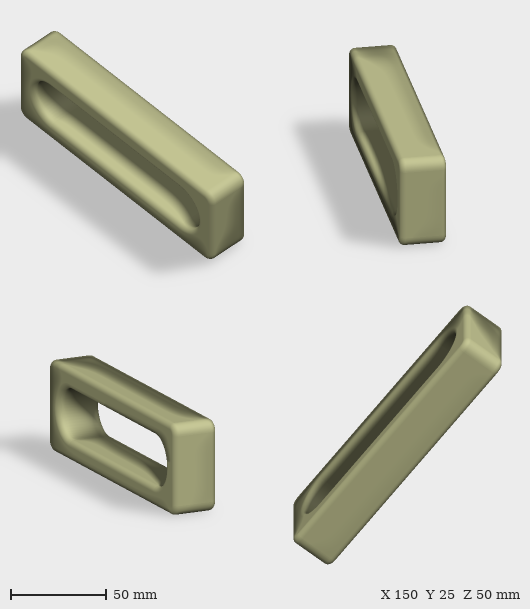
import cadquery as cq

length = 150.0
height = length / 3
thickness = length / 6
corner_radius = 6.0
edge_radius = 3.0
slot_straight = length * 2 / 3
slot_height = 28.0

block = (
    cq.Workplane("XZ")
    .rect(length, height)
    .extrude(thickness / 2, both=True)
    .edges("|Y")
    .fillet(corner_radius)
)

slot = (
    cq.Workplane("XZ")
    .slot2D(slot_straight + slot_height, slot_height)
    .extrude(thickness / 2, both=True)
)

result = block.cut(slot).faces("<Y or >Y").edges().fillet(edge_radius)